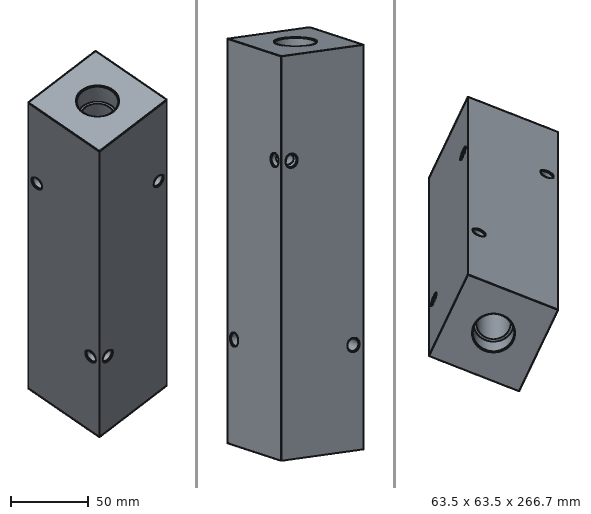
import cadquery as cq

side = 63.5
length = 266.7
edge_chamfer = 0.3

bore_diameter = 22.0
socket_diameter = 26.5
socket_taper = 1 / 16
socket_depth = 14.0
socket_chamfer = 0.7

cross_hole_diameter = 8.2
cross_hole_chamfer = 0.7
cross_hole_offset = 23.8
cross_hole_spacing = 127.0


def make_block():
    """Square prism with a small chamfer on every edge."""
    return cq.Workplane("XY").box(side, side, length).edges().chamfer(edge_chamfer)


def revolve_about_z(profile):
    """Solid of revolution about Z from (radius, height) points."""
    return cq.Workplane("XZ").polyline(profile).close().revolve(360, (0, 0), (0, 1))


def axial_bore():
    """Through bore that steps out to a tapered socket at both ends."""
    bore_radius = bore_diameter / 2
    socket_radius = socket_diameter / 2
    mouth_radius = socket_radius + socket_chamfer
    floor_radius = socket_radius - socket_taper * (socket_depth - socket_chamfer) / 2
    mouth_height = length / 2
    chamfer_height = mouth_height - socket_chamfer
    floor_height = mouth_height - socket_depth
    profile = [
        (0, -mouth_height),
        (mouth_radius, -mouth_height),
        (socket_radius, -chamfer_height),
        (floor_radius, -floor_height),
        (bore_radius, -floor_height),
        (bore_radius, floor_height),
        (floor_radius, floor_height),
        (socket_radius, chamfer_height),
        (mouth_radius, mouth_height),
        (0, mouth_height),
    ]
    return revolve_about_z(profile)


def cross_hole():
    """Through hole along Z, as long as the block is wide, chamfered at both ends."""
    radius = cross_hole_diameter / 2
    mouth_radius = radius + cross_hole_chamfer
    mouth_height = side / 2
    chamfer_height = mouth_height - cross_hole_chamfer
    profile = [
        (0, -mouth_height),
        (mouth_radius, -mouth_height),
        (radius, -chamfer_height),
        (radius, chamfer_height),
        (mouth_radius, mouth_height),
        (0, mouth_height),
    ]
    return revolve_about_z(profile)


def cut_cross_holes(body):
    """Cut the diagonally placed pairs of holes that run along X and along Y."""
    along_x = cross_hole().rotate((0, 0, 0), (0, 1, 0), 90)
    along_y = cross_hole().rotate((0, 0, 0), (1, 0, 0), 90)
    for sign in (-1, 1):
        offset = sign * cross_hole_offset
        height = sign * cross_hole_spacing / 2
        body = body.cut(along_x.translate((0, offset, height)))
        body = body.cut(along_y.translate((offset, 0, -height)))
    return body


result = cut_cross_holes(make_block().cut(axial_bore()))